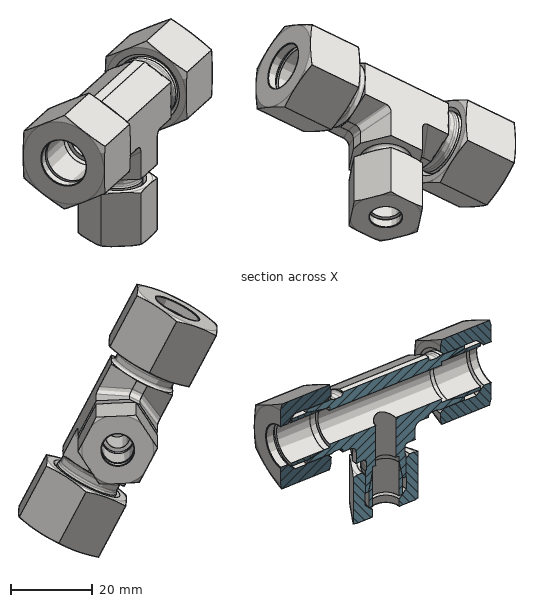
import cadquery as cq
import math


REACH = 32.0
BODY_ACROSS_FLATS = 17.0
BODY_CORNER_SPAN = 18.0
INNER_CORNER_RADIUS = 1.65

FLARE_LENGTH = 0.95
FLARE_RISE = 0.7
NECK_LENGTH = 1.35
RAMP_FILLET = 1.6
THREAD_RAMP_ANGLE = 22.0

NUT_CHAMFER_ANGLE = 15.0
ENTRY_CHAMFER = 0.16
TUBE_HOLE_DEPTH = 2.3
RING_DEPTH = 3.2
THREAD_END_DEPTH = 8.0
MOUTH_CHAMFER = 0.95
TUBE_SOCKET_DEPTH = 7.0
RING_HEIGHT = 1.12
RING_TAPER_ANGLE = 12.0

RUN_END = {
    "bar_end": 13.0,
    "bore": 10.0,
    "tube": 12.0,
    "neck": 15.7,
    "thread": 16.4,
    "nut_flats": 22.0,
    "nut_length": 15.5,
    "outer_face": 21.9,
    "inner_face": 21.9,
}
BRANCH_END = {
    "bar_end": 14.0,
    "bore": 6.0,
    "tube": 8.0,
    "neck": 11.7,
    "thread": 12.35,
    "nut_flats": 17.0,
    "nut_length": 14.5,
    "outer_face": 17.65,
    "inner_face": 17.15,
}

ENDS = [(RUN_END, 90), (RUN_END, -90), (BRANCH_END, 180)]


def turn(shape, angle):
    return shape.rotate((0, 0, 0), (1, 0, 0), angle)


def hexagon_bar(across_flats, start, end):
    corner_diameter = across_flats / math.cos(math.pi / 6)
    bar = cq.Workplane("XY").workplane(offset=start).polygon(6, corner_diameter).extrude(end - start)
    return bar.rotate((0, 0, 0), (0, 0, 1), 90)


def revolve_about_z(outline):
    """Revolve an outline drawn in the XZ plane as (radius, height)."""
    return outline.close().revolve(360, (0, 0, 0), (0, 1, 0))


def cylinder(diameter, start, end):
    return cq.Workplane("XY").workplane(offset=start).circle(diameter / 2).extrude(end - start)


def body_bar(start, end):
    bar = hexagon_bar(BODY_ACROSS_FLATS, start, end)
    flats = cq.Workplane("XY").workplane(offset=start)
    return bar.intersect(flats.rect(BODY_ACROSS_FLATS, BODY_CORNER_SPAN).extrude(end - start))


def tee_block():
    run = turn(body_bar(-RUN_END["bar_end"], RUN_END["bar_end"]), 90)
    branch = turn(body_bar(0, BRANCH_END["bar_end"]), 180)
    web = corner_web()
    return run.union(branch).union(web).union(web.mirror("XZ")).clean()


def corner_web():
    """Rounded inner corner between run and branch on the +Y side, following the hexagon bars' faces."""
    half_flats = BODY_ACROSS_FLATS / 2
    slanted_edge = half_flats / math.sqrt(3)
    cut_edge = BODY_CORNER_SPAN / 2
    half_cut_width = (2 * slanted_edge - cut_edge) * math.sqrt(3)
    sections = [
        (-half_flats, slanted_edge),
        (-half_cut_width, cut_edge),
        (half_cut_width, cut_edge),
        (half_flats, slanted_edge),
    ]
    wires = []
    for x, reach in sections:
        tangent = reach + INNER_CORNER_RADIUS
        arc_middle = tangent - INNER_CORNER_RADIUS * math.sqrt(0.5)
        outline = (
            cq.Workplane("YZ", origin=(x, 0, 0))
            .moveTo(reach / 2, -reach / 2)
            .lineTo(tangent, -reach)
            .threePointArc((arc_middle, -arc_middle), (reach, -tangent))
            .close()
        )
        wires.append(outline.val())
    return cq.Workplane(cq.Solid.makeLoft(wires, True))


def threaded_stub(end):
    """Neck flaring out to the body, ramp up to the thread diameter, and the thread as a plain cylinder."""
    neck_radius = end["neck"] / 2
    thread_radius = end["thread"] / 2
    flare_start = end["bar_end"]
    neck_start = flare_start + FLARE_LENGTH
    neck_end = neck_start + NECK_LENGTH
    thread_end = REACH - THREAD_END_DEPTH

    flare_radius = (FLARE_LENGTH**2 + FLARE_RISE**2) / (2 * FLARE_RISE)
    flare_angle = math.asin(FLARE_LENGTH / flare_radius)
    ramp_angle = math.radians(THREAD_RAMP_ANGLE)

    def flare_point(angle):
        return (neck_radius + flare_radius * (1 - math.cos(angle)), neck_start - flare_radius * math.sin(angle))

    def ramp_point(angle):
        return (neck_radius + RAMP_FILLET * (1 - math.cos(angle)), neck_end + RAMP_FILLET * math.sin(angle))

    ramp_radius, ramp_start = ramp_point(ramp_angle)
    ramp_end = ramp_start + (thread_radius - ramp_radius) / math.tan(ramp_angle)
    outline = (
        cq.Workplane("XZ")
        .moveTo(0, 0)
        .lineTo(neck_radius, 0)
        .lineTo(neck_radius, flare_start)
        .lineTo(*flare_point(flare_angle))
        .threePointArc(flare_point(flare_angle / 2), (neck_radius, neck_start))
        .lineTo(neck_radius, neck_end)
        .threePointArc(ramp_point(ramp_angle / 2), (ramp_radius, ramp_start))
        .lineTo(thread_radius, ramp_end)
        .lineTo(thread_radius, thread_end)
        .lineTo(0, thread_end)
    )
    return revolve_about_z(outline)


def make_tee_body():
    socket_stop = REACH - THREAD_END_DEPTH - TUBE_SOCKET_DEPTH
    body = tee_block()
    for end, angle in ENDS:
        body = body.union(turn(threaded_stub(end), angle))
    for end, angle in ENDS:
        body = body.cut(turn(cylinder(end["bore"], 0, REACH), angle))
        body = body.cut(turn(cylinder(end["tube"], socket_stop, REACH), angle))
        body = body.cut(turn(make_ring(end), angle))
    return body


def make_ring(end):
    """Ring with a 45 degree back against the nut shoulder and a taper wedged into the body."""
    tube_radius = end["tube"] / 2
    outer_radius = tube_radius + RING_HEIGHT
    back = REACH - RING_DEPTH
    back_radius = tube_radius + RING_DEPTH - TUBE_HOLE_DEPTH
    taper_start = REACH - THREAD_END_DEPTH
    taper_length = RING_HEIGHT / math.tan(math.radians(RING_TAPER_ANGLE))
    outline = (
        cq.Workplane("XZ")
        .moveTo(tube_radius, back)
        .lineTo(back_radius, back)
        .lineTo(outer_radius, back - (outer_radius - back_radius))
        .lineTo(outer_radius, taper_start)
        .lineTo(tube_radius, taper_start - taper_length)
    )
    return revolve_about_z(outline)


def chamfer_envelope(end):
    """Solid of revolution that chamfers the hexagon corners at both faces."""
    outer_radius = end["outer_face"] / 2
    inner_radius = end["inner_face"] / 2
    rim_radius = end["nut_flats"] / 2 / math.cos(math.pi / 6)
    slope = math.tan(math.radians(NUT_CHAMFER_ANGLE))
    inner = REACH - end["nut_length"]
    outline = (
        cq.Workplane("XZ")
        .moveTo(0, inner)
        .lineTo(inner_radius, inner)
        .lineTo(rim_radius, inner + slope * (rim_radius - inner_radius))
        .lineTo(rim_radius, REACH - slope * (rim_radius - outer_radius))
        .lineTo(outer_radius, REACH)
        .lineTo(0, REACH)
    )
    return revolve_about_z(outline)


def nut_cavity(end):
    """Chamfered tube hole, 45 degree shoulder, threaded hole and chamfered mouth."""
    hole_radius = end["tube"] / 2
    thread_radius = end["thread"] / 2
    inner = REACH - end["nut_length"]
    shoulder = REACH - TUBE_HOLE_DEPTH
    outline = (
        cq.Workplane("XZ")
        .moveTo(0, inner)
        .lineTo(thread_radius + MOUTH_CHAMFER, inner)
        .lineTo(thread_radius, inner + MOUTH_CHAMFER)
        .lineTo(thread_radius, shoulder - (thread_radius - hole_radius))
        .lineTo(hole_radius, shoulder)
        .lineTo(hole_radius, REACH - ENTRY_CHAMFER)
        .lineTo(hole_radius + ENTRY_CHAMFER, REACH)
        .lineTo(0, REACH)
    )
    return revolve_about_z(outline)


def make_nut(end):
    blank = hexagon_bar(end["nut_flats"], REACH - end["nut_length"], REACH)
    return blank.intersect(chamfer_envelope(end)).cut(nut_cavity(end))


tee_body = make_tee_body()
nuts = [turn(make_nut(end), angle) for end, angle in ENDS]
rings = [turn(make_ring(end), angle) for end, angle in ENDS]

result = cq.Compound.makeCompound(
    [tee_body.val(), *[nut.val() for nut in nuts], *[ring.val() for ring in rings]]
)